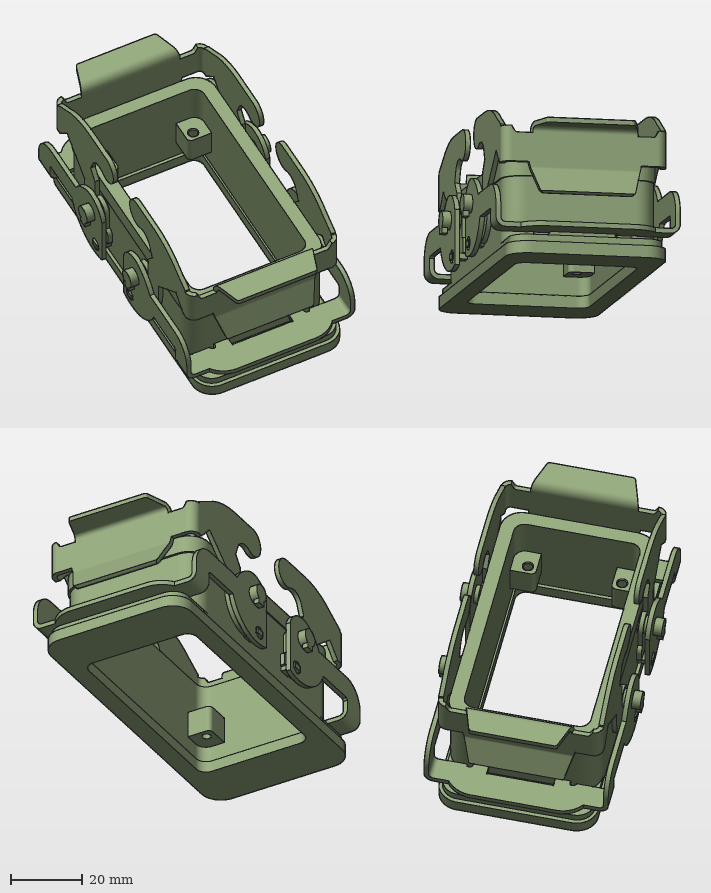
import cadquery as cq
import math


FLANGE_LENGTH = 95.8
FLANGE_WIDTH = 45.7
FLANGE_HEIGHT = 3.5
FLANGE_CORNER_RADIUS = 6.2
STEP_LENGTH = 93.4
STEP_TOP = 5.5
STEP_CORNER_RADIUS = 5.1
BODY_LENGTH = 74.4
BODY_WIDTH = 43.7
BODY_CORNER_RADIUS = 5.9
RIM_LENGTH = 75.6
RIM_WIDTH = 44.4
RIM_CORNER_RADIUS = 6.1
RIM_BOTTOM = 23.9
HOUSING_TOP = 29.1

CAVITY_LENGTH = 67.5
CAVITY_WIDTH = 36.3
CAVITY_CORNER_RADIUS = 3.2
LEDGE_HEIGHT = 3.5
LEDGE_OPENING_LENGTH = 65.5
LEDGE_OPENING_WIDTH = 35.1

POST_INNER_X = 26.0
POST_INNER_Y = 10.9
POST_BOTTOM = 9.0
POST_TOP = 17.1
POST_CORNER_RADIUS = 1.4
SCREW_X = 28.5
SCREW_Y = 13.6
SCREW_RADIUS = 1.3
SCREW_CHAMFER = 0.3

PIN_X = -13.5
PIN_Z = 19.8
PIN_DIAMETER = 5.2
PIN_RADIUS = PIN_DIAMETER / 2
PIN_END_Y = 29.0
KEY_WIDTH = 2.6
KEY_LENGTH = 1.7
KEY_BOTTOM = 15.9

SHEET = 1.4
BEND_OUTER = 2.8
BEND_INNER = BEND_OUTER - SHEET
BEND_OVERLAP = 1.0

HOOK_OUTER_Y = 23.8
WEB_OUTER_X = -41.7
WEB_INNER_X = WEB_OUTER_X + SHEET
WEB_BEND_END_X = WEB_OUTER_X + BEND_OUTER
WEB_BOTTOM = 27.2
WEB_TOP = 35.5
WEB_TOP_HALF_WIDTH = 20.1
BEND_TOP = 37.4
BEND_TOP_Y = 21.2
DIP_CORNER_RADIUS = 1.0

HOOK_TOP = 45.0
NOSE_RADIUS = 4.4
NOSE_X = -9.3
NOSE_Z = HOOK_TOP - NOSE_RADIUS
CATCH_X = PIN_X
CATCH_Z = 33.1
CATCH_END = (-17.3, 35.1)
CATCH_CORNER = (-18.8, 31.6)
NECK_RIGHT_X = -16.2
NECK_RIGHT_TOP = 28.3
NECK_LEFT_X = -22.6
NECK_LEFT_TOP = 23.3
BACK_ARC_START_X = -19.6
BACK_ARC_END = (-33.9, 40.7)
BACK_END_Z = 38.0
NOTCH_APEX = (-33.3, 31.6)
NOTCH_FOOT_X = -37.6
HUB_RADIUS = 3.6
HEEL_START_Z = 18.2
HEEL_RADIUS = 9.6
TOE_X = -8.2
TOE_TOP = 14.45

GRIP_END_X = -49.5
GRIP_TOP = 38.6
GRIP_ROOT_HALF_WIDTH = 15.5
GRIP_END_HALF_WIDTH = 12.6
GRIP_CORNER_RADIUS = 1.0
SKIRT_BEND_Z = 25.4
SKIRT_BEND_RADIUS = 1.3
SKIRT_LENGTH = 7.8
SKIRT_ANGLE = 26.6
SKIRT_TOP_HALF_WIDTH = 16.2
SKIRT_BEND_HALF_WIDTH = 15.7
SKIRT_END_HALF_WIDTH = 13.5
SKIRT_CORNER_RADIUS = 1.6
SKIRT_BOTTOM = 17.9

BAIL_OUTER_Y = 26.5
BAIL_OUTER_X = -45.3
BAIL_INNER_X = -38.3
BAIL_BOTTOM = 7.7
BAIL_TOP = BAIL_BOTTOM + SHEET
BAIL_BEND_Z = BAIL_BOTTOM + BEND_OUTER
ARM_TOP = 20.9
ARM_BOTTOM = 14.1
ARM_CORNER_RADIUS = 7.5
ARM_INNER_CHAMFER = 0.6
SHOULDER_START_X = -22.7
SHOULDER_MIDDLE = (-19.6, 24.3)
BAIL_HUB_RADIUS = 7.1
SHOULDER_END_X = -16.5
BAIL_RIGHT_X = -6.6
BELLY_RIGHT_Z = 6.1
BELLY_LOWEST = (-11.6, 5.2)
BELLY_LEFT_X = -25.0

FLOOR_OUTER_X = -48.9
FLOOR_OUTER_HALF_WIDTH = 12.6
FLOOR_SHOULDER_Y = 19.4
FLOOR_ARC_MIDDLE = (-47.6, 16.9)
RECESS_X = -40.4
RECESS_HALF_WIDTH = 9.6
RELIEF_Y = 14.8
RELIEF_RADIUS = 0.9
TAB_THICKNESS = 1.1
TAB_BOTTOM = 6.7
TAB_END_SLANT = 0.7
TAB_BEND_RADIUS = 1.0

TONGUE_X = -10.4
TONGUE_Z = 9.0
TONGUE_HEIGHT = 1.7
TONGUE_WIDTH = 3.5
TONGUE_END_Y = 26.8
TONGUE_END_CHAMFER = 0.4
RIVET_HOLE_RADIUS = 1.9


def rounded_block(length, width, radius, bottom, top):
    """Upright block centred on the Z axis with rounded vertical edges."""
    base = cq.Workplane("XY").workplane(offset=bottom).rect(length, width)
    return base.extrude(top - bottom).edges("|Z").fillet(radius)


def block(x_range, y_range, z_range):
    """Box between two limits along each axis."""
    lows, highs = zip(x_range, y_range, z_range)
    sizes = [high - low for low, high in zip(lows, highs)]
    return cq.Workplane("XY").box(*sizes, centered=False).translate(lows)


def across_y(outline, y_low, y_high):
    """Extrude an XZ outline from y_low to y_high."""
    return outline.extrude(y_low - y_high).translate((0, y_low, 0))


def both_sides(shape):
    """The shape together with its mirror image about the XZ plane."""
    return shape.union(shape.mirror("XZ"))


def point_on_circle(center, radius, toward):
    """Point of a circle that lies in the direction of another point."""
    distance = math.dist(center, toward)
    return tuple(c + radius * (t - c) / distance for c, t in zip(center, toward))


def make_shell():
    shell = rounded_block(FLANGE_LENGTH, FLANGE_WIDTH, FLANGE_CORNER_RADIUS, 0, FLANGE_HEIGHT)
    shell = shell.union(
        rounded_block(STEP_LENGTH, BODY_WIDTH, STEP_CORNER_RADIUS, FLANGE_HEIGHT, STEP_TOP)
    )
    shell = shell.union(
        rounded_block(BODY_LENGTH, BODY_WIDTH, BODY_CORNER_RADIUS, STEP_TOP, RIM_BOTTOM)
    )
    shell = shell.union(
        rounded_block(RIM_LENGTH, RIM_WIDTH, RIM_CORNER_RADIUS, RIM_BOTTOM, HOUSING_TOP)
    )
    cavity = rounded_block(
        CAVITY_LENGTH, CAVITY_WIDTH, CAVITY_CORNER_RADIUS, LEDGE_HEIGHT, HOUSING_TOP
    )
    ledge_opening = rounded_block(
        LEDGE_OPENING_LENGTH, LEDGE_OPENING_WIDTH, CAVITY_CORNER_RADIUS, 0, LEDGE_HEIGHT
    )
    return shell.cut(cavity).cut(ledge_opening)


def make_post(side_x, side_y):
    """Screw post in one corner of the cavity, reaching into the corner wall."""
    wall_x = (CAVITY_LENGTH + BODY_LENGTH) / 4
    wall_y = (CAVITY_WIDTH + BODY_WIDTH) / 4
    post = (
        cq.Workplane("XY")
        .workplane(offset=POST_BOTTOM)
        .moveTo(POST_INNER_X, POST_INNER_Y)
        .lineTo(wall_x, POST_INNER_Y)
        .lineTo(wall_x, CAVITY_WIDTH / 2)
        .lineTo(CAVITY_LENGTH / 2, wall_y)
        .lineTo(POST_INNER_X, wall_y)
        .close()
        .extrude(POST_TOP - POST_BOTTOM)
        .edges("|Z and <XY")
        .fillet(POST_CORNER_RADIUS)
    )
    screw_hole = (
        cq.Workplane("XY")
        .workplane(offset=POST_BOTTOM)
        .center(SCREW_X, SCREW_Y)
        .circle(SCREW_RADIUS)
        .extrude(POST_TOP - POST_BOTTOM)
    )
    mouth = cq.Workplane(
        cq.Solid.makeCone(
            SCREW_RADIUS,
            SCREW_RADIUS + SCREW_CHAMFER,
            SCREW_CHAMFER,
            cq.Vector(SCREW_X, SCREW_Y, POST_TOP - SCREW_CHAMFER),
        )
    )
    post = post.cut(screw_hole).cut(mouth)
    if side_x < 0:
        post = post.mirror("YZ")
    if side_y < 0:
        post = post.mirror("XZ")
    return post


def make_pin():
    """Pivot pin on the -X, -Y side, with a key under its outer end."""
    root_y = -(CAVITY_WIDTH + BODY_WIDTH) / 4
    shank = across_y(
        cq.Workplane("XZ").center(PIN_X, PIN_Z).circle(PIN_RADIUS), -PIN_END_Y, root_y
    )
    key_outline = cq.Workplane("XZ").center(PIN_X, (PIN_Z + KEY_BOTTOM) / 2)
    key_outline = key_outline.rect(KEY_WIDTH, PIN_Z - KEY_BOTTOM)
    key = across_y(key_outline, -PIN_END_Y, -PIN_END_Y + KEY_LENGTH)
    return shank.union(key)


def make_housing():
    housing = make_shell()
    for side_x in (-1, 1):
        for side_y in (-1, 1):
            housing = housing.union(make_post(side_x, side_y))
    pins = both_sides(make_pin())
    return housing.union(pins).union(pins.mirror("YZ"))


def make_hook_plate():
    """Plate on the -Y side that carries the hook, the pivot hub and the heel."""
    nose_center = (NOSE_X, NOSE_Z)
    catch_center = (CATCH_X, CATCH_Z)
    nose_to_catch = point_on_circle(nose_center, NOSE_RADIUS, catch_center)
    catch_radius = math.dist(catch_center, nose_to_catch)
    hub_right_x = PIN_X + HUB_RADIUS
    hub_neck_z = PIN_Z + math.sqrt(HUB_RADIUS**2 - (NECK_RIGHT_X - PIN_X) ** 2)
    hub_middle = point_on_circle((PIN_X, PIN_Z), HUB_RADIUS, (PIN_X + 1, PIN_Z + 1))
    heel_x = NECK_LEFT_X + HEEL_RADIUS
    heel_bottom = HEEL_START_Z - HEEL_RADIUS
    toe_bottom = HEEL_START_Z - math.sqrt(HEEL_RADIUS**2 - (TOE_X - heel_x) ** 2)
    toe_radius = TOE_X - hub_right_x
    outline = (
        cq.Workplane("XZ")
        .moveTo(WEB_BEND_END_X, WEB_BOTTOM)
        .lineTo(WEB_BEND_END_X, BACK_END_Z)
        .lineTo(*BACK_ARC_END)
        .threePointArc(back_arc_middle(), (BACK_ARC_START_X, HOOK_TOP))
        .lineTo(NOSE_X, HOOK_TOP)
        .threePointArc((NOSE_X + NOSE_RADIUS, NOSE_Z), nose_to_catch)
        .threePointArc((CATCH_X, CATCH_Z + catch_radius), CATCH_END)
        .lineTo(*CATCH_CORNER)
        .lineTo(NECK_RIGHT_X, NECK_RIGHT_TOP)
        .lineTo(NECK_RIGHT_X, hub_neck_z)
        .threePointArc(hub_middle, (hub_right_x, PIN_Z))
        .lineTo(hub_right_x, TOE_TOP)
        .radiusArc((TOE_X, TOE_TOP - toe_radius), toe_radius)
        .lineTo(TOE_X, toe_bottom)
        .threePointArc((heel_x, heel_bottom), (NECK_LEFT_X, HEEL_START_Z))
        .lineTo(NECK_LEFT_X, NECK_LEFT_TOP)
        .lineTo(*NOTCH_APEX)
        .lineTo(NOTCH_FOOT_X, WEB_BOTTOM)
        .close()
    )
    plate = across_y(outline, -HOOK_OUTER_Y, -HOOK_OUTER_Y + SHEET)
    return plate.cut(pin_hole())


def back_arc_middle():
    """Middle of the hook's back, an arc that runs out level at the hook's top."""
    run = BACK_ARC_START_X - BACK_ARC_END[0]
    drop = HOOK_TOP - BACK_ARC_END[1]
    radius = (run**2 + drop**2) / (2 * drop)
    half_turn = math.asin(run / radius) / 2
    return (
        BACK_ARC_START_X - radius * math.sin(half_turn),
        HOOK_TOP - radius * (1 - math.cos(half_turn)),
    )


def pin_hole():
    """Bore for the -Y pivot pin, through both plates of the lever."""
    return across_y(
        cq.Workplane("XZ").center(PIN_X, PIN_Z).circle(PIN_RADIUS), -BAIL_OUTER_Y, -BODY_WIDTH / 2
    )


def make_web():
    """Upright web with a quarter bend at each end, overlapping the two hook plates."""
    end_x = WEB_BEND_END_X + BEND_OVERLAP
    outer = (
        block((WEB_OUTER_X, end_x), (-HOOK_OUTER_Y, HOOK_OUTER_Y), (WEB_BOTTOM, BEND_TOP))
        .edges("|Z and <X")
        .fillet(BEND_OUTER)
    )
    inner_y = HOOK_OUTER_Y - SHEET
    inner = (
        block((WEB_INNER_X, end_x), (-inner_y, inner_y), (WEB_BOTTOM, BEND_TOP))
        .edges("|Z and <X")
        .fillet(BEND_INNER)
    )
    dip = (
        cq.Workplane("YZ")
        .polyline(
            [
                (-BEND_TOP_Y, BEND_TOP),
                (-WEB_TOP_HALF_WIDTH, WEB_TOP),
                (WEB_TOP_HALF_WIDTH, WEB_TOP),
                (BEND_TOP_Y, BEND_TOP),
            ]
        )
        .close()
        .extrude(WEB_OUTER_X)
        .edges("|X and <Z")
        .fillet(DIP_CORNER_RADIUS)
    )
    return outer.cut(inner).cut(dip)


def make_grip():
    """Thumb grip that bends outward from the top of the web and narrows toward its end."""
    y_range = (-GRIP_ROOT_HALF_WIDTH, GRIP_ROOT_HALF_WIDTH)
    root_z = WEB_TOP - SHEET
    outer = (
        block((GRIP_END_X, WEB_INNER_X), y_range, (root_z, GRIP_TOP))
        .edges("|Y and >X and >Z")
        .fillet(BEND_OUTER)
    )
    inner = (
        block((GRIP_END_X, WEB_OUTER_X), y_range, (root_z, GRIP_TOP - SHEET))
        .edges("|Y and >X and >Z")
        .fillet(BEND_INNER)
    )
    plan = (
        cq.Workplane("XY")
        .polyline(
            [
                (WEB_INNER_X, -GRIP_ROOT_HALF_WIDTH),
                (WEB_INNER_X, GRIP_ROOT_HALF_WIDTH),
                (GRIP_END_X, GRIP_END_HALF_WIDTH),
                (GRIP_END_X, -GRIP_END_HALF_WIDTH),
            ]
        )
        .close()
        .extrude(GRIP_TOP)
        .edges("|Z and <X")
        .fillet(GRIP_CORNER_RADIUS)
    )
    return outer.cut(inner).intersect(plan)


def make_skirt():
    """Flap that hangs from the web, leans outward and has two rounded lower corners."""
    lean = math.radians(SKIRT_ANGLE)
    along = (-math.sin(lean), -math.cos(lean))
    across = (math.cos(lean), -math.sin(lean))
    bend_shift = SHEET * math.tan(lean / 2)
    outer_end_x = WEB_OUTER_X + SKIRT_LENGTH * along[0]
    outer_end_z = SKIRT_BEND_Z + SKIRT_LENGTH * along[1]
    section = (
        cq.Workplane("XZ")
        .polyline(
            [
                (WEB_OUTER_X, WEB_BOTTOM),
                (WEB_OUTER_X, SKIRT_BEND_Z),
                (outer_end_x, outer_end_z),
                (outer_end_x + SHEET * across[0], outer_end_z + SHEET * across[1]),
                (WEB_INNER_X, SKIRT_BEND_Z - bend_shift),
                (WEB_INNER_X, WEB_BOTTOM),
            ]
        )
        .close()
    )
    flap = across_y(section, -SKIRT_TOP_HALF_WIDTH, SKIRT_TOP_HALF_WIDTH)
    outer_bend = cq.selectors.NearestToPointSelector((WEB_OUTER_X, 0, SKIRT_BEND_Z))
    inner_bend = cq.selectors.NearestToPointSelector((WEB_INNER_X, 0, SKIRT_BEND_Z - bend_shift))
    flap = flap.edges(outer_bend).fillet(SKIRT_BEND_RADIUS)
    flap = flap.edges(inner_bend).fillet(SKIRT_BEND_RADIUS + SHEET)
    silhouette = (
        cq.Workplane("YZ")
        .polyline(
            [
                (-SKIRT_TOP_HALF_WIDTH, WEB_BOTTOM),
                (-SKIRT_BEND_HALF_WIDTH, SKIRT_BEND_Z),
                (-SKIRT_END_HALF_WIDTH, SKIRT_BOTTOM),
                (SKIRT_END_HALF_WIDTH, SKIRT_BOTTOM),
                (SKIRT_BEND_HALF_WIDTH, SKIRT_BEND_Z),
                (SKIRT_TOP_HALF_WIDTH, WEB_BOTTOM),
            ]
        )
        .close()
        .extrude(GRIP_END_X)
        .edges("|X and <Z")
        .fillet(SKIRT_CORNER_RADIUS)
    )
    return flap.intersect(silhouette)


def make_bail_plate():
    """Side plate on the -Y side: pivot hub with a round belly, and an arm that turns down."""
    shoulder_end_z = PIN_Z + math.sqrt(BAIL_HUB_RADIUS**2 - (SHOULDER_END_X - PIN_X) ** 2)
    hub_right_z = PIN_Z + math.sqrt(BAIL_HUB_RADIUS**2 - (BAIL_RIGHT_X - PIN_X) ** 2)
    hub_top = (PIN_X, PIN_Z + BAIL_HUB_RADIUS)
    corner_middle = point_on_circle(
        (BAIL_OUTER_X + ARM_CORNER_RADIUS, ARM_TOP - ARM_CORNER_RADIUS),
        ARM_CORNER_RADIUS,
        (BAIL_OUTER_X, ARM_TOP),
    )
    outline = (
        cq.Workplane("XZ")
        .moveTo(BAIL_OUTER_X, BAIL_BEND_Z)
        .lineTo(BAIL_OUTER_X, ARM_TOP - ARM_CORNER_RADIUS)
        .threePointArc(corner_middle, (BAIL_OUTER_X + ARM_CORNER_RADIUS, ARM_TOP))
        .lineTo(SHOULDER_START_X, ARM_TOP)
        .threePointArc(SHOULDER_MIDDLE, (SHOULDER_END_X, shoulder_end_z))
        .threePointArc(hub_top, (BAIL_RIGHT_X, hub_right_z))
        .lineTo(BAIL_RIGHT_X, BELLY_RIGHT_Z)
        .threePointArc(BELLY_LOWEST, (BELLY_LEFT_X, ARM_BOTTOM))
        .lineTo(BAIL_INNER_X + ARM_INNER_CHAMFER, ARM_BOTTOM)
        .lineTo(BAIL_INNER_X, ARM_BOTTOM - ARM_INNER_CHAMFER)
        .lineTo(BAIL_INNER_X, BAIL_BEND_Z)
        .close()
    )
    plate = across_y(outline, -BAIL_OUTER_Y, -BAIL_OUTER_Y + SHEET)
    rivet_hole = across_y(
        cq.Workplane("XZ").center(TONGUE_X, TONGUE_Z).circle(RIVET_HOLE_RADIUS),
        -BAIL_OUTER_Y,
        -BAIL_OUTER_Y + SHEET,
    )
    return plate.cut(pin_hole()).cut(rivet_hole)


def make_bail_channel():
    """Floor strip with a quarter bend at each end, overlapping the two side plates."""
    x_range = (BAIL_OUTER_X, BAIL_INNER_X)
    end_z = BAIL_BEND_Z + BEND_OVERLAP
    outer = (
        block(x_range, (-BAIL_OUTER_Y, BAIL_OUTER_Y), (BAIL_BOTTOM, end_z))
        .edges("|X and <Z")
        .fillet(BEND_OUTER)
    )
    inner_y = BAIL_OUTER_Y - SHEET
    inner = (
        block(x_range, (-inner_y, inner_y), (BAIL_TOP, end_z))
        .edges("|X and <Z")
        .fillet(BEND_INNER)
    )
    return outer.cut(inner)


def make_floor_lip():
    """Outward extension of the floor with curved shoulders."""
    arc_x, arc_y = FLOOR_ARC_MIDDLE
    return (
        cq.Workplane("XY")
        .workplane(offset=BAIL_BOTTOM)
        .moveTo(BAIL_OUTER_X, -FLOOR_SHOULDER_Y)
        .threePointArc((arc_x, -arc_y), (FLOOR_OUTER_X, -FLOOR_OUTER_HALF_WIDTH))
        .lineTo(FLOOR_OUTER_X, FLOOR_OUTER_HALF_WIDTH)
        .threePointArc((arc_x, arc_y), (BAIL_OUTER_X, FLOOR_SHOULDER_Y))
        .close()
        .extrude(SHEET)
    )


def make_floor_cuts():
    """Recess in the middle of the floor's inner edge, and a round relief beside each tab."""
    recess = block(
        (RECESS_X, BAIL_INNER_X), (-RECESS_HALF_WIDTH, RECESS_HALF_WIDTH), (BAIL_BOTTOM, BAIL_TOP)
    )
    relief = (
        cq.Workplane("XY")
        .workplane(offset=BAIL_BOTTOM)
        .center(BAIL_INNER_X, -RELIEF_Y)
        .circle(RELIEF_RADIUS)
        .extrude(SHEET)
    )
    return recess.union(both_sides(relief))


def make_floor_tab():
    """Tab on the -Y side, bent down from the floor's inner edge."""
    outer_y = -(RELIEF_Y - RELIEF_RADIUS)
    inner_y = -RECESS_HALF_WIDTH
    return (
        cq.Workplane("YZ")
        .workplane(offset=BAIL_INNER_X)
        .polyline(
            [
                (outer_y, TAB_BOTTOM),
                (outer_y, BAIL_TOP),
                (inner_y, BAIL_TOP),
                (inner_y, BAIL_BOTTOM),
                (inner_y - TAB_END_SLANT, TAB_BOTTOM),
            ]
        )
        .close()
        .extrude(TAB_THICKNESS)
        .edges("|Y and >X and >Z")
        .fillet(TAB_BEND_RADIUS)
    )


def make_tongue():
    """Flat tongue from the -Y hook plate, a tight fit in the bail's rivet hole."""
    half_width = TONGUE_WIDTH / 2
    tip_half_width = half_width - TONGUE_END_CHAMFER
    root_y = -HOOK_OUTER_Y + SHEET
    return (
        cq.Workplane("XY")
        .workplane(offset=TONGUE_Z - TONGUE_HEIGHT / 2)
        .polyline(
            [
                (TONGUE_X - half_width, root_y),
                (TONGUE_X - half_width, -BAIL_OUTER_Y),
                (TONGUE_X - tip_half_width, -TONGUE_END_Y),
                (TONGUE_X + tip_half_width, -TONGUE_END_Y),
                (TONGUE_X + half_width, -BAIL_OUTER_Y),
                (TONGUE_X + half_width, root_y),
            ]
        )
        .close()
        .extrude(TONGUE_HEIGHT)
    )


def make_lever(side_x):
    """Locking lever at the -X or the +X end: hook half and bail half, riveted together."""
    hook_half = both_sides(make_hook_plate()).union(make_web())
    hook_half = hook_half.union(make_grip()).union(make_skirt())
    bail_half = both_sides(make_bail_plate()).union(make_bail_channel())
    bail_half = bail_half.union(make_floor_lip()).cut(make_floor_cuts())
    bail_half = bail_half.union(both_sides(make_floor_tab()))
    lever = hook_half.union(both_sides(make_tongue())).union(bail_half)
    return lever.mirror("YZ") if side_x > 0 else lever


housing = make_housing()
levers = [make_lever(side_x) for side_x in (-1, 1)]

result = cq.Compound.makeCompound([housing.val(), *[lever.val() for lever in levers]])